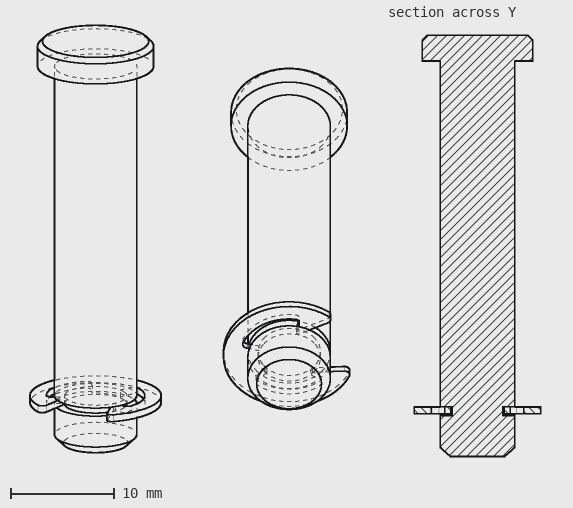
import cadquery as cq
import math

pin_length = 40.65
shank_radius = 4.0
tip_chamfer = 0.85
head_radius = 5.6
head_height = 2.5
head_chamfer = 0.5

groove_radius = 3.0
groove_height = 0.8
groove_top = 4.8

clip_radius = 6.35
clip_thickness = 0.7
clip_bottom = groove_top - clip_thickness

mouth_half_width = 2.5
mouth_flare = 12.0
arm_tip_fillet = 0.5

relief_radius = 4.75
relief_start = 119.0
relief_end = 208.0
relief_fillet = 0.5


def cylinder(radius, bottom, height):
    return cq.Workplane("XY").workplane(offset=bottom).circle(radius).extrude(height)


def polar(radius, angle):
    return (radius * math.cos(math.radians(angle)), radius * math.sin(math.radians(angle)))


def make_pin():
    """Headed pin with a chamfered tip and a groove for the clip."""
    shank = cylinder(shank_radius, 0, pin_length - head_height).faces("<Z").chamfer(tip_chamfer)
    head = cylinder(head_radius, pin_length - head_height, head_height).faces(">Z").chamfer(head_chamfer)
    groove_bottom = groove_top - groove_height
    groove = cylinder(shank_radius, groove_bottom, groove_height).cut(
        cylinder(groove_radius, groove_bottom, groove_height)
    )
    return shank.union(head).cut(groove)


def make_mouth():
    """Flared opening from the clip centre out past the rim."""
    bore_y = -math.sqrt(groove_radius**2 - mouth_half_width**2)
    outer_half_width = mouth_half_width + (clip_radius + bore_y) * math.tan(math.radians(mouth_flare))
    return (
        cq.Workplane("XY")
        .workplane(offset=clip_bottom)
        .moveTo(0, 0)
        .lineTo(-mouth_half_width, bore_y)
        .lineTo(-outer_half_width, -clip_radius)
        .lineTo(outer_half_width, -clip_radius)
        .lineTo(mouth_half_width, bore_y)
        .close()
        .extrude(clip_thickness)
    )


def make_relief():
    """Ring sector on the -X side, with rounded outer corners."""
    middle = (relief_start + relief_end) / 2
    sector = (
        cq.Workplane("XY")
        .workplane(offset=clip_bottom)
        .moveTo(0, 0)
        .lineTo(*polar(relief_radius, relief_start))
        .threePointArc(polar(relief_radius, middle), polar(relief_radius, relief_end))
        .close()
        .extrude(clip_thickness)
    )
    outer_corners = [(*polar(relief_radius, angle), clip_bottom) for angle in (relief_start, relief_end)]
    for corner in outer_corners:
        sector = sector.edges("|Z").edges(cq.selectors.NearestToPointSelector(corner)).fillet(relief_fillet)
    return sector


def make_clip():
    """Open retaining ring with three prongs seated on the groove floor."""
    ring = cylinder(clip_radius, clip_bottom, clip_thickness).cut(
        cylinder(groove_radius, clip_bottom, clip_thickness)
    )
    clip = ring.cut(make_mouth())
    clip = clip.edges("|Z").edges("<Y").fillet(arm_tip_fillet)
    relief = make_relief()
    return clip.cut(relief).cut(relief.mirror("YZ"))


pin = make_pin()
clip = make_clip()

result = cq.Compound.makeCompound([pin.val(), clip.val()])